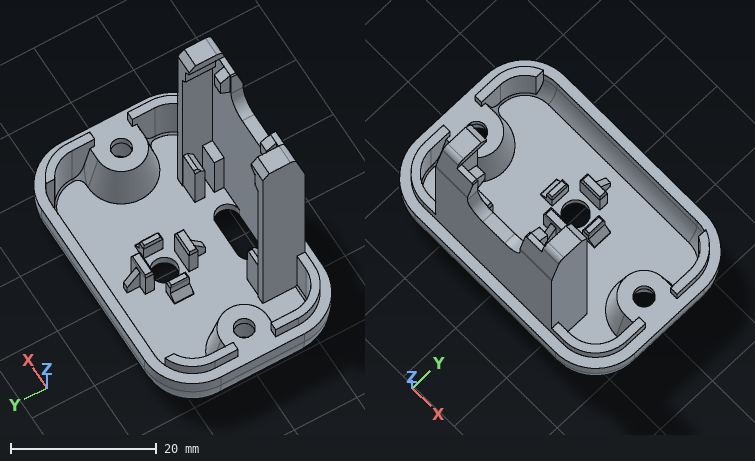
import cadquery as cq
LENGTH = 43.0
WIDTH = 28.7
CORNER_R = 7.7
SIDE_R = 7.6
TANGENT_Z = 5.65
RIM_Z = 7.9
WALL = 1.6
FLOOR_Z = WALL

LIP_T = 1.3
LIP_TOP = 9.9
LIP_SIDE_GAP = 6.0
LIP_BACK_GAP = 32.0

BOSS_X = 16.5
BOSS_TOP_R = 3.75
BOSS_BASE_R = 5.3
BOSS_BLEND_R = 1.3
SCREW_D = 3.0
SCREW_HEAD_D = 6.0
SCREW_SEAT_Z = 6.6

PANEL_HALF = 11.45
PANEL_FRONT = WALL - WIDTH / 2
PANEL_T = 1.98
PANEL_BACK = PANEL_FRONT + PANEL_T
PANEL_TOP = 37.0
POST_BACK = -5.98
HEAD_IN = 8.35
POST_IN = 10.15
STOP_IN = 9.35
BEVEL_Z = 31.75
BEVEL_TOP_Y = -11.2
BEVEL_BLEND_R = 0.85
TOP_FRONT_R = 1.05
TOP_BACK_CHAMFER = 1.05
HOOK_Z = 35.4
STOP_BOTTOM_Z = 31.8
SHOULDER_Z = HOOK_Z
NOTCH_HALF = 5.15
NOTCH_BOTTOM = 27.65
NOTCH_R = 3.0
NOTCH_CHAMFER = 0.2

GUIDE_IN = 7.0
GUIDE_FRONT_BACK = -9.2
GUIDE_REAR_FRONT = -7.7
GUIDE_REAR_BACK = -6.1
GUIDE_TOP = LIP_TOP
GUIDE_LEAD = 0.95
GUIDE_END_CHAMFER = 0.35
PAD_UNDER_Z = 30.75
PAD_LOW_Z = 31.8
PAD_HIGH_Z = 34.5

CENTRE_Y = 2.92
CENTRE_D = 4.0
CABLE_L = 9.5
CABLE_W = 3.8
CABLE_Y = PANEL_BACK + CABLE_W / 2

CLIP_BEVEL = 0.25
CLIP_BACK_BEVEL = 0.15
CLIP_BEVEL_H = 0.45


def block(x0, x1, y0, y1, z0, z1):
    """Box between two opposite corners."""
    return cq.Workplane("XY").box(x1 - x0, y1 - y0, z1 - z0, centered=False).translate((x0, y0, z0))


def rounded_plate(inset, z0, z1):
    """Tub outline, moved inward by inset, between two heights."""
    plate = cq.Workplane("XY").workplane(offset=z0).rect(LENGTH - 2 * inset, WIDTH - 2 * inset)
    return plate.extrude(z1 - z0).edges("|Z").fillet(CORNER_R - inset)


def tub_skin(inset, bottom):
    """Solid with an arc-shaped lower side wall, cut flat at the given bottom height."""
    radius = SIDE_R - inset
    solid = rounded_plate(inset, TANGENT_Z - radius, RIM_Z).faces("<Z").edges().fillet(radius)
    return solid.intersect(block(-LENGTH, LENGTH, -WIDTH, WIDTH, bottom, RIM_Z))


def profile_x(points, x0, x1):
    """Outline in the YZ plane extruded from x0 to x1."""
    return cq.Workplane("YZ").workplane(offset=x0).polyline(points).close().extrude(x1 - x0)


def both_sides(solid):
    """A solid together with its mirror image across the YZ plane."""
    return solid.union(solid.mirror("YZ"))


def make_lip():
    """Lip ring rising from the floor, open at the back and beside the bosses."""
    lip = rounded_plate(WALL, FLOOR_Z, LIP_TOP)
    lip = lip.cut(rounded_plate(WALL + LIP_T, FLOOR_Z, LIP_TOP))
    lip = lip.cut(block(-LENGTH, LENGTH, -LIP_SIDE_GAP / 2, LIP_SIDE_GAP / 2, RIM_Z, LIP_TOP))
    return lip.cut(block(-LIP_BACK_GAP / 2, LIP_BACK_GAP / 2, 0, WIDTH, FLOOR_Z, LIP_TOP))


def make_boss():
    """Tapered boss that runs straight out into the end wall."""
    height = RIM_Z - FLOOR_Z
    cone = cq.Workplane("XY").workplane(offset=FLOOR_Z).center(BOSS_X, 0).circle(BOSS_BASE_R)
    cone = cone.workplane(offset=height).circle(BOSS_TOP_R).loft()
    section = [
        (-BOSS_BASE_R, FLOOR_Z),
        (BOSS_BASE_R, FLOOR_Z),
        (BOSS_TOP_R, RIM_Z),
        (-BOSS_TOP_R, RIM_Z),
    ]
    return cone.union(profile_x(section, BOSS_X, LENGTH / 2)).intersect(tub_skin(0, 0))


def make_tub():
    """Hollow tray with both screw bosses blended into its end walls."""
    tub = tub_skin(0, 0).cut(tub_skin(WALL, FLOOR_Z)).union(both_sides(make_boss()))
    for side in (-1, 1):
        for flank in (-1, 1):
            joint = cq.selectors.BoxSelector(
                (side * (BOSS_X + BOSS_BLEND_R), flank * BOSS_TOP_R, FLOOR_Z + WALL),
                (side * LENGTH / 2, flank * BOSS_BASE_R, RIM_Z - WALL / 2),
            )
            tub = tub.edges(joint).fillet(BOSS_BLEND_R)
    return tub


def make_panel():
    """Upright panel whose sides run back as posts with hooked heads."""
    side = [
        (PANEL_FRONT, FLOOR_Z),
        (PANEL_FRONT, BEVEL_Z),
        (BEVEL_TOP_Y, PANEL_TOP),
        (POST_BACK, PANEL_TOP),
        (POST_BACK, FLOOR_Z),
    ]
    panel = profile_x(side, -PANEL_HALF, PANEL_HALF)
    panel = panel.edges(cq.NearestToPointSelector((0, PANEL_FRONT, BEVEL_Z))).fillet(BEVEL_BLEND_R)
    panel = panel.edges(cq.NearestToPointSelector((0, BEVEL_TOP_Y, PANEL_TOP))).fillet(TOP_FRONT_R)
    panel = panel.edges(cq.NearestToPointSelector((0, POST_BACK, PANEL_TOP))).chamfer(TOP_BACK_CHAMFER)

    hollow = (
        cq.Workplane("XZ", origin=(0, PANEL_BACK, 0))
        .polyline([
            (0, FLOOR_Z),
            (POST_IN, FLOOR_Z),
            (POST_IN, STOP_BOTTOM_Z - (POST_IN - STOP_IN)),
            (STOP_IN, STOP_BOTTOM_Z),
            (STOP_IN, HOOK_Z - (STOP_IN - HEAD_IN)),
            (HEAD_IN, HOOK_Z),
            (HEAD_IN, PANEL_TOP),
            (0, PANEL_TOP),
        ])
        .close()
        .extrude(PANEL_BACK - POST_BACK)
    )
    hollow = both_sides(hollow)
    panel = panel.cut(hollow)
    panel = panel.cut(block(-HEAD_IN, HEAD_IN, PANEL_FRONT, PANEL_BACK, SHOULDER_Z, PANEL_TOP))

    notch = block(-NOTCH_HALF, NOTCH_HALF, PANEL_FRONT, PANEL_BACK, NOTCH_BOTTOM, PANEL_TOP)
    panel = panel.cut(notch.edges("<Z and |Y").fillet(NOTCH_R))
    for x in (-NOTCH_HALF, NOTCH_HALF):
        panel = panel.edges(cq.NearestToPointSelector((x, PANEL_BACK, SHOULDER_Z))).chamfer(NOTCH_CHAMFER)
    return panel


def make_guides():
    """Upper pad and the two lower guide ribs on the right-hand side."""
    pad = profile_x(
        [
            (PANEL_BACK, PAD_UNDER_Z),
            (GUIDE_FRONT_BACK, PAD_LOW_Z),
            (GUIDE_FRONT_BACK, PAD_HIGH_Z),
            (PANEL_BACK, SHOULDER_Z),
        ],
        NOTCH_HALF + NOTCH_CHAMFER,
        GUIDE_IN,
    )
    front_rib = block(GUIDE_IN, POST_IN, PANEL_BACK, GUIDE_FRONT_BACK, FLOOR_Z, GUIDE_TOP)
    rear_rib = block(GUIDE_IN, POST_IN, GUIDE_REAR_FRONT, GUIDE_REAR_BACK, FLOOR_Z, GUIDE_TOP)
    rear_rib = rear_rib.faces("<Y").edges(">Z").chamfer(GUIDE_LEAD)
    rear_rib = rear_rib.faces("<X").edges(">Z").chamfer(GUIDE_END_CHAMFER)
    return pad.union(front_rib).union(rear_rib)


def make_clip(width, near, far, top, rib_width, rib_far, rib_low, rib_high):
    """Clip on the +X side of the centre hole with a sloping rib behind it."""
    shoulder = top - CLIP_BEVEL_H
    depth = far - near
    top_depth = depth - CLIP_BEVEL - CLIP_BACK_BEVEL
    top_shift = (CLIP_BEVEL - CLIP_BACK_BEVEL) / 2
    body = block(near, far, -width / 2, width / 2, FLOOR_Z, shoulder)
    tip = (
        cq.Workplane("XY", origin=((near + far) / 2, 0, shoulder))
        .rect(depth, width)
        .workplane(offset=CLIP_BEVEL_H)
        .center(top_shift, 0)
        .rect(top_depth, width - 2 * CLIP_BEVEL)
        .loft()
    )
    rib = (
        cq.Workplane("XZ", origin=(0, rib_width / 2, 0))
        .polyline([(near, FLOOR_Z), (rib_far, FLOOR_Z), (rib_far, rib_low), (far, rib_high), (near, rib_high)])
        .close()
        .extrude(rib_width)
    )
    return body.union(tip).union(rib)


def make_clips():
    """Two low clips along X and two tall clips along Y."""
    low = make_clip(3.1, 3.0, 4.15, 4.65, 3.1, 5.35, 1.8, 2.8)
    tall = make_clip(3.9, 2.75, 4.2, 6.5, 1.0, 6.25, 3.05, 5.45)
    clips = cq.Workplane("XY")
    for clip, angle in ((low, 0), (tall, 90), (low, 180), (tall, 270)):
        clips = clips.add(clip.rotate((0, 0, 0), (0, 0, 1), angle).translate((0, CENTRE_Y, 0)))
    return clips.combine()


result = make_tub().union(make_lip()).union(make_panel()).union(both_sides(make_guides())).union(make_clips())

screw_points = [(-BOSS_X, 0), (BOSS_X, 0)]
screw_holes = cq.Workplane("XY").pushPoints(screw_points).circle(SCREW_D / 2).extrude(RIM_Z)
head_recesses = cq.Workplane("XY").pushPoints(screw_points).circle(SCREW_HEAD_D / 2).extrude(SCREW_SEAT_Z)
centre_hole = cq.Workplane("XY").center(0, CENTRE_Y).circle(CENTRE_D / 2).extrude(FLOOR_Z)
cable_slot = cq.Workplane("XY").center(0, CABLE_Y).slot2D(CABLE_L, CABLE_W).extrude(FLOOR_Z)
result = result.cut(screw_holes).cut(head_recesses).cut(centre_hole).cut(cable_slot)